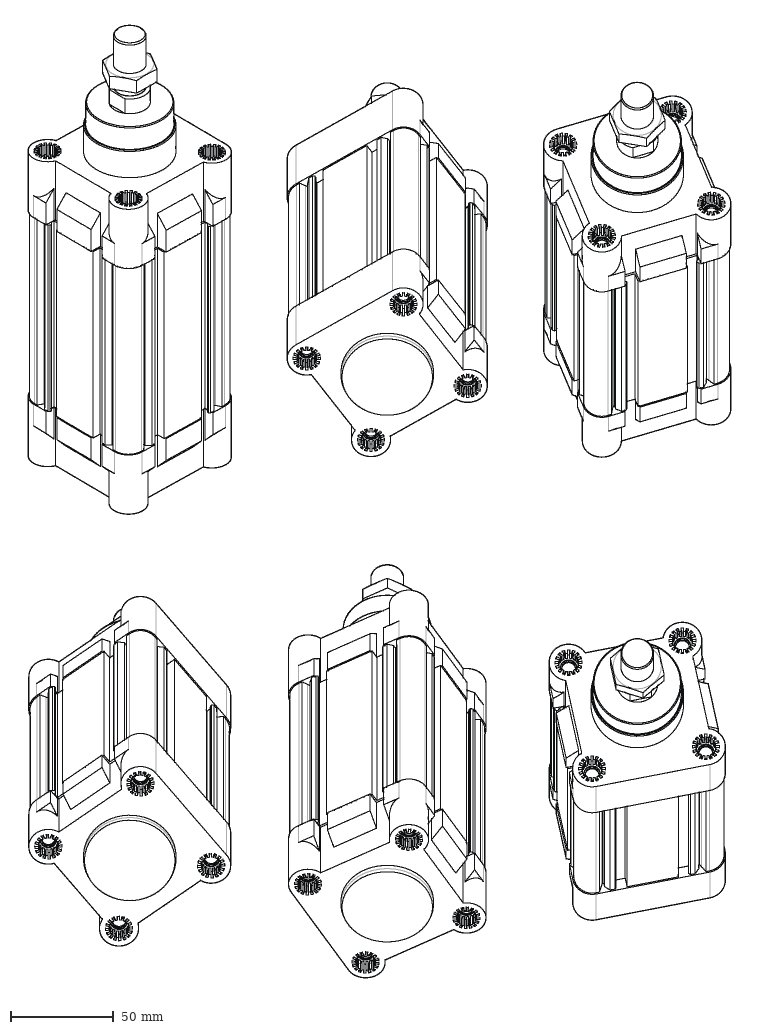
import cadquery as cq
import math


TOTAL_HEIGHT = 254.0
SPIGOT_HEIGHT = 4.3
CAP_HEIGHT = 35.0
BARREL_HEIGHT = 110.2
COLLAR_LOWER_HEIGHT = 16.0
COLLAR_UPPER_HEIGHT = 13.2
ROD_SHOULDER_HEIGHT = 8.6
NUT_BOTTOM_Z = 228.3
NUT_HEIGHT = 8.0

REAR_CAP_TOP_Z = SPIGOT_HEIGHT + CAP_HEIGHT
FRONT_CAP_BOTTOM_Z = REAR_CAP_TOP_Z + BARREL_HEIGHT
FRONT_CAP_TOP_Z = FRONT_CAP_BOTTOM_Z + CAP_HEIGHT
COLLAR_STEP_Z = FRONT_CAP_TOP_Z + COLLAR_LOWER_HEIGHT
COLLAR_TOP_Z = COLLAR_STEP_Z + COLLAR_UPPER_HEIGHT
ROD_SHOULDER_Z = COLLAR_TOP_Z + ROD_SHOULDER_HEIGHT

CAP_WIDTH = 75.5
HALF_CAP = CAP_WIDTH / 2
COLUMN_OFFSET = 28.2
CAP_COLUMN_RADIUS = HALF_CAP - COLUMN_OFFSET
CAP_RECESS = 31.5
LUG_FACE_HEIGHT = 13.0
LUG_HEIGHT = 19.8
CENTRE_LUG_HALF_WIDTH = 12.0
CORNER_LUG_INNER = 19.5
CORNER_LUG_OUTER = 28.2
LUGGED_SIDES = (0, 90, 270)
ALL_SIDES = (0, 90, 180, 270)

SOCKET_RADIUS = 6.5
SOCKET_DEPTH = 6.9
TOOTH_COUNT = 16
TOOTH_TIP_RADIUS = 4.8
TOOTH_HALF_ANGLE = 6
SCREW_HOLE_DIAMETER = 8.0
SCREW_HOLE_DEPTH = 0.8
DRILL_DIAMETER = 6.5
DRILL_DEPTH = 1.3
DRILL_POINT_HEIGHT = 2.3

BARREL_HALF_WIDTH = 37.0
BARREL_COLUMN_RADIUS = BARREL_HALF_WIDTH - COLUMN_OFFSET
CHANNEL_FLOOR = 32.5
PANEL_HALF_WIDTH = 12.7
CHANNEL_HALF_WIDTH = 19.3
LIP_EDGE = 18.0
LIP_CHAMFER = 0.8
LIP_BACK = 35.5
SLOT_INNER = 21.0
SLOT_OUTER = 26.5
SLOT_FLOOR = 33.0
SLOT_FLOOR_INNER = 23.4
SLOT_FLOOR_OUTER = 24.1
SLOT_BEND_X = 25.0
SLOT_BEND_Y = 34.3

COLLAR_LOWER_DIAMETER = 45.0
COLLAR_UPPER_DIAMETER = 43.0
COLLAR_CHAMFER = 0.5
SPIGOT_CHAMFER = 0.5
SPIGOT_CHAMFER_HEIGHT = 1.8

ROD_DIAMETER = 20.0
ROD_FLATS = 17.0
THREAD_DIAMETER = 16.0
THREAD_CHAMFER = 0.5
THREAD_TIP_CHAMFER_HEIGHT = 1.0
NUT_FLATS = 24.0
NUT_CHAMFER_DIAMETER = 23.4
NUT_CHAMFER_HEIGHT = 0.5


def cylinder(diameter, bottom, top):
    return cq.Workplane("XY").workplane(offset=bottom).circle(diameter / 2).extrude(top - bottom)


def corner_points():
    signs = (-1, 1)
    return [(sx * COLUMN_OFFSET, sy * COLUMN_OFFSET) for sx in signs for sy in signs]


def lug(x_start, x_end):
    """Lug on the -Y side with a sloped outer end, standing on Z = 0."""
    slope = (LUG_HEIGHT - LUG_FACE_HEIGHT) / (HALF_CAP - CAP_RECESS)
    inner_height = LUG_HEIGHT + slope * (CAP_RECESS - COLUMN_OFFSET)
    outline = [
        (-COLUMN_OFFSET, 0),
        (-HALF_CAP, 0),
        (-HALF_CAP, LUG_FACE_HEIGHT),
        (-COLUMN_OFFSET, inner_height),
    ]
    return cq.Workplane("YZ").workplane(offset=x_start).polyline(outline).close().extrude(x_end - x_start)


def polar_point(radius, degrees):
    angle = math.radians(degrees)
    return (radius * math.cos(angle), radius * math.sin(angle))


def screw_socket():
    """Cutting body of one socket on the Z axis: a toothed bore, then a stepped hole with a drill point."""
    floor_z = CAP_HEIGHT - SOCKET_DEPTH
    step_z = floor_z - SCREW_HOLE_DEPTH
    drill_end_z = step_z - DRILL_DEPTH
    tooth_outline = []
    for index in range(TOOTH_COUNT):
        axis_angle = 360 * index / TOOTH_COUNT
        tooth_outline += [
            polar_point(SOCKET_RADIUS, axis_angle - TOOTH_HALF_ANGLE),
            polar_point(TOOTH_TIP_RADIUS, axis_angle - TOOTH_HALF_ANGLE),
            polar_point(TOOTH_TIP_RADIUS, axis_angle + TOOTH_HALF_ANGLE),
            polar_point(SOCKET_RADIUS, axis_angle + TOOTH_HALF_ANGLE),
        ]
    toothed_bore = (
        cq.Workplane("XY").workplane(offset=floor_z)
        .polyline(tooth_outline).close().extrude(SOCKET_DEPTH)
    )
    screw_hole = cylinder(SCREW_HOLE_DIAMETER, step_z, floor_z)
    drilled_hole = cylinder(DRILL_DIAMETER, drill_end_z, step_z)
    drill_point = cq.Workplane(
        cq.Solid.makeCone(
            DRILL_DIAMETER / 2, 0, DRILL_POINT_HEIGHT, cq.Vector(0, 0, drill_end_z), cq.Vector(0, 0, -1)
        )
    )
    return toothed_bore.union(screw_hole).union(drilled_hole).union(drill_point)


def make_cap():
    """End cap with its inner face on Z = 0 and its outer face at CAP_HEIGHT."""
    cap = cq.Workplane("XY").rect(2 * CAP_RECESS, 2 * COLUMN_OFFSET).extrude(CAP_HEIGHT)
    flat_side_depth = CAP_RECESS + HALF_CAP
    flat_side = (
        cq.Workplane("XY").center(0, HALF_CAP - flat_side_depth / 2)
        .rect(2 * COLUMN_OFFSET, flat_side_depth).extrude(CAP_HEIGHT)
    )
    columns = cq.Workplane("XY").pushPoints(corner_points()).circle(CAP_COLUMN_RADIUS).extrude(CAP_HEIGHT)
    cap = cap.union(flat_side).union(columns)
    lugs = (
        lug(-CENTRE_LUG_HALF_WIDTH, CENTRE_LUG_HALF_WIDTH),
        lug(-CORNER_LUG_OUTER, -CORNER_LUG_INNER),
        lug(CORNER_LUG_INNER, CORNER_LUG_OUTER),
    )
    for turn in LUGGED_SIDES:
        for side_lug in lugs:
            cap = cap.union(side_lug.rotate((0, 0, 0), (0, 0, 1), turn))
    socket = screw_socket()
    for x, y in corner_points():
        cap = cap.cut(socket.translate((x, y, 0)))
    return cap


def make_barrel():
    """Extruded barrel on Z = 0, with two lipped channels and two slots on each side."""
    face = BARREL_HALF_WIDTH
    beyond = HALF_CAP
    channel = [
        (PANEL_HALF_WIDTH, -beyond),
        (PANEL_HALF_WIDTH, -CHANNEL_FLOOR),
        (CHANNEL_HALF_WIDTH, -CHANNEL_FLOOR),
        (CHANNEL_HALF_WIDTH, -LIP_BACK + CHANNEL_HALF_WIDTH - LIP_EDGE),
        (LIP_EDGE, -LIP_BACK),
        (LIP_EDGE, -face + LIP_CHAMFER),
        (LIP_EDGE + LIP_CHAMFER, -face),
        (LIP_EDGE + LIP_CHAMFER, -beyond),
    ]
    slot = [
        (SLOT_INNER, -beyond),
        (SLOT_INNER, -face),
        (SLOT_FLOOR_INNER, -face + SLOT_FLOOR_INNER - SLOT_INNER),
        (SLOT_FLOOR_INNER, -SLOT_FLOOR),
        (SLOT_FLOOR_OUTER, -SLOT_FLOOR),
        (SLOT_BEND_X, -SLOT_BEND_Y),
        (SLOT_OUTER, -face),
        (SLOT_OUTER, -beyond),
    ]
    barrel = (
        cq.Workplane("XY").rect(2 * face, 2 * face).extrude(BARREL_HEIGHT)
        .edges("|Z").fillet(BARREL_COLUMN_RADIUS)
    )
    for outline in (channel, slot):
        groove = cq.Workplane("XY").polyline(outline).close().extrude(BARREL_HEIGHT)
        for side_groove in (groove, groove.mirror("YZ")):
            for turn in ALL_SIDES:
                barrel = barrel.cut(side_groove.rotate((0, 0, 0), (0, 0, 1), turn))
    return barrel


def make_collar():
    lower = cylinder(COLLAR_LOWER_DIAMETER, FRONT_CAP_TOP_Z, COLLAR_STEP_Z)
    upper = cylinder(COLLAR_UPPER_DIAMETER, COLLAR_STEP_Z, COLLAR_TOP_Z)
    return lower.faces(">Z").chamfer(COLLAR_CHAMFER).union(upper.faces(">Z").chamfer(COLLAR_CHAMFER))


def make_spigot():
    spigot = cylinder(COLLAR_LOWER_DIAMETER, 0, SPIGOT_HEIGHT)
    return spigot.faces("<Z").chamfer(SPIGOT_CHAMFER_HEIGHT, SPIGOT_CHAMFER)


def make_housing():
    cap = make_cap()
    front_cap = cap.translate((0, 0, FRONT_CAP_BOTTOM_Z))
    rear_cap = cap.mirror("XY").translate((0, 0, REAR_CAP_TOP_Z))
    barrel = make_barrel().translate((0, 0, REAR_CAP_TOP_Z))
    housing = barrel.union(front_cap).union(rear_cap).union(make_collar()).union(make_spigot())
    rod_bore = cylinder(ROD_DIAMETER, FRONT_CAP_BOTTOM_Z, COLLAR_TOP_Z)
    return housing.cut(rod_bore)


def make_rod():
    """Piston rod with two wrench flats facing -Y and +Y and a threaded end."""
    shank = cylinder(ROD_DIAMETER, FRONT_CAP_BOTTOM_Z, COLLAR_TOP_Z)
    shoulder = cylinder(ROD_DIAMETER, COLLAR_TOP_Z, ROD_SHOULDER_Z)
    flats = (
        cq.Workplane("XY").workplane(offset=COLLAR_TOP_Z)
        .rect(ROD_DIAMETER, ROD_FLATS).extrude(ROD_SHOULDER_HEIGHT)
    )
    thread = (
        cylinder(THREAD_DIAMETER, ROD_SHOULDER_Z, TOTAL_HEIGHT)
        .faces(">Z").chamfer(THREAD_TIP_CHAMFER_HEIGHT, THREAD_CHAMFER)
        .faces("<Z").chamfer(THREAD_CHAMFER)
    )
    return shank.union(shoulder.intersect(flats)).union(thread)


def make_nut():
    """Hexagon nut with two flats facing -X and +X, chamfered at the top corners."""
    across_corners = NUT_FLATS / math.cos(math.radians(30))
    nut = (
        cq.Workplane("XY").workplane(offset=NUT_BOTTOM_Z)
        .polygon(6, across_corners).extrude(NUT_HEIGHT)
        .rotate((0, 0, 0), (0, 0, 1), 30)
    )
    chamfer_run = (across_corners - NUT_CHAMFER_DIAMETER) / 2
    envelope = (
        cylinder(across_corners, NUT_BOTTOM_Z, NUT_BOTTOM_Z + NUT_HEIGHT)
        .faces(">Z").chamfer(NUT_CHAMFER_HEIGHT, chamfer_run)
    )
    hole = cylinder(THREAD_DIAMETER, NUT_BOTTOM_Z, NUT_BOTTOM_Z + NUT_HEIGHT)
    return nut.intersect(envelope).cut(hole)


housing = make_housing()
rod = make_rod()
nut = make_nut()

result = cq.Compound.makeCompound([housing.val(), rod.val(), nut.val()])